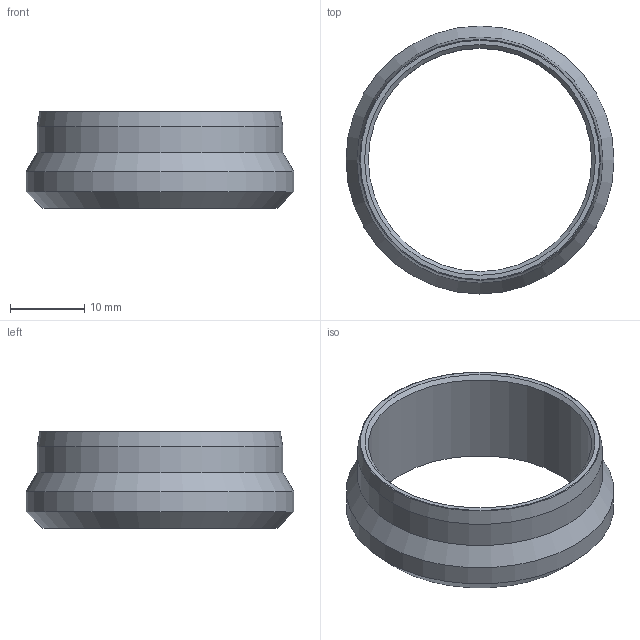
import cadquery as cq

height = 13.0
bore_radius = 30.0 / 2
collar_radius = 33.0 / 2
flange_radius = 36.0 / 2

base_cone_height = 2.25
base_radius = flange_radius - base_cone_height
flange_top = 4.9

collar_bottom = 7.5
tip_height = 2.0
collar_top = height - tip_height
tip_radius = 16.18

mouth_bevel = 0.5
rim_bevel_width = 0.1
rim_bevel_height = 0.05


def half_section():
    """Wall section as (radius, height) points, from the base up the outside and down the bore."""
    outside = [
        (base_radius, 0),
        (flange_radius, base_cone_height),
        (flange_radius, flange_top),
        (collar_radius, collar_bottom),
        (collar_radius, collar_top),
        (tip_radius, height - rim_bevel_height),
        (tip_radius - rim_bevel_width, height),
    ]
    bore = [
        (bore_radius + mouth_bevel, height),
        (bore_radius, height - mouth_bevel),
        (bore_radius, 0),
    ]
    return cq.Workplane("XZ").polyline(outside + bore).close()


result = half_section().revolve(360, (0, 0, 0), (0, 1, 0))